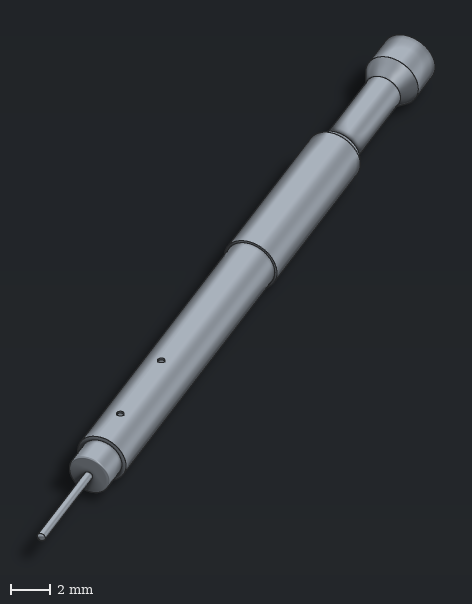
import cadquery as cq

TOTAL_LENGTH = 42.3
HEAD_DIAMETER = 3.0
NECK_DIAMETER = 2.0
BODY_DIAMETER = 2.75
PLUG_DIAMETER = 2.3
TAIL_DIAMETER = 0.45

HEAD_LENGTH = 1.95
HEAD_TAPER_LENGTH = 1.0
NECK_LENGTH = 5.25
COLLAR_LENGTH = 9.95
BODY_LENGTH = 17.05
PLUG_LENGTH = 1.52

COLLAR_CHAMFER_LENGTH = 0.4
COLLAR_CHAMFER_WIDTH = 0.2
PLUG_ROUNDING = 0.13
TAIL_TIP_LENGTH = 0.15

DIMPLE_POSITIONS = (9.22, 13.9)
DIMPLE_DIAMETER = 0.4
DIMPLE_DEPTH = 0.13

head_radius = HEAD_DIAMETER / 2
neck_radius = NECK_DIAMETER / 2
body_radius = BODY_DIAMETER / 2
plug_radius = PLUG_DIAMETER / 2
tail_radius = TAIL_DIAMETER / 2

tip_sphere_radius = (tail_radius**2 + TAIL_TIP_LENGTH**2) / (2 * TAIL_TIP_LENGTH)

taper_start = TOTAL_LENGTH - HEAD_LENGTH
neck_start = taper_start - HEAD_TAPER_LENGTH
collar_start = neck_start - NECK_LENGTH
body_start = collar_start - COLLAR_LENGTH
plug_start = body_start - BODY_LENGTH
tail_start = plug_start - PLUG_LENGTH


def turned_pin():
    """Stepped round pin, its half profile revolved about Y."""
    shoulders = [
        (head_radius, TOTAL_LENGTH),
        (head_radius, taper_start),
        (neck_radius, neck_start),
        (neck_radius, collar_start),
        (head_radius - COLLAR_CHAMFER_WIDTH, collar_start),
        (head_radius, collar_start - COLLAR_CHAMFER_LENGTH),
        (head_radius, body_start),
        (body_radius, body_start),
        (body_radius, plug_start),
        (plug_radius, plug_start),
        (plug_radius, tail_start + PLUG_ROUNDING),
    ]
    profile = (
        cq.Workplane("XY")
        .moveTo(0, TOTAL_LENGTH)
        .polyline(shoulders, includeCurrent=True)
        .tangentArcPoint((plug_radius - PLUG_ROUNDING, tail_start), relative=False)
        .lineTo(tail_radius, tail_start)
        .lineTo(tail_radius, TAIL_TIP_LENGTH)
        .radiusArc((0, 0), tip_sphere_radius)
        .close()
    )
    return profile.revolve(360, (0, 0, 0), (0, 1, 0))


def dimples():
    """Short vertical cylinders that sink the dimples into the top of the body."""
    centres = [(0, y) for y in DIMPLE_POSITIONS]
    floor = cq.Workplane("XY").workplane(offset=body_radius - DIMPLE_DEPTH)
    return floor.pushPoints(centres).circle(DIMPLE_DIAMETER / 2).extrude(body_radius)


result = turned_pin().cut(dimples())